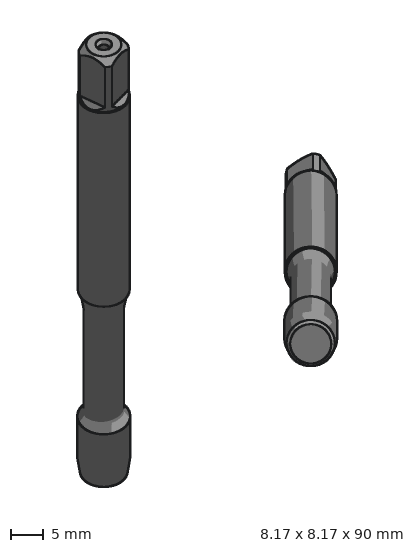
import cadquery as cq
import math

total_length = 90.0

head_diameter = 8.17
head_length = 12.0
lead_length = 3.6
lead_end_diameter = 7.4
lead_end_height = 0.6
tip_diameter = 6.3
tip_point_height = 0.2

collar_diameter = 8.08
collar_angle = 30.0
collar_fillet_radius = 1.0

neck_diameter = 6.23
shank_cone_bottom = 34.95
shank_cone_top_diameter = 7.4

shank_diameter = 8.0
shank_bottom = 38.7
shank_top = 79.3

square_width = 6.2
square_corner_diameter = 7.75
square_flat_bottom = 80.4
square_top_diameter = 5.4

centre_hole_diameter = 1.6
countersink_diameter = 2.5
countersink_angle = 60.0
centre_hole_depth = 2.5
drill_point_angle = 120.0


def revolve_outline(outline):
    """Revolve a closed outline of (radius, height) about Z."""
    return outline.close().revolve(360, (0, 0, 0), (0, 1, 0))


def make_cutting_head():
    return revolve_outline(
        cq.Workplane("XZ")
        .lineTo(tip_diameter / 2, tip_point_height)
        .lineTo(lead_end_diameter / 2, lead_end_height)
        .lineTo(head_diameter / 2, lead_length)
        .lineTo(head_diameter / 2, head_length)
        .lineTo(0, head_length)
    )


def make_shank_blank():
    """Collar, neck, shank and the round stock of the driving square."""
    neck_radius = neck_diameter / 2
    collar_radius = collar_diameter / 2
    slope = math.radians(collar_angle)
    cone_corner = head_length + (collar_radius - neck_radius) / math.tan(slope)
    tangent_length = collar_fillet_radius * math.tan(slope / 2)
    fillet_start = (
        neck_radius + tangent_length * math.sin(slope),
        cone_corner - tangent_length * math.cos(slope),
    )
    fillet_middle = (
        neck_radius + collar_fillet_radius * (1 - math.cos(slope / 2)),
        cone_corner + tangent_length - collar_fillet_radius * math.sin(slope / 2),
    )
    fillet_end = (neck_radius, cone_corner + tangent_length)

    corner_radius = square_corner_diameter / 2
    top_chamfer = corner_radius - square_top_diameter / 2
    shank_shoulder = shank_top + (shank_diameter - square_corner_diameter) / 2
    return revolve_outline(
        cq.Workplane("XZ")
        .moveTo(0, head_length)
        .lineTo(collar_radius, head_length)
        .lineTo(*fillet_start)
        .threePointArc(fillet_middle, fillet_end)
        .lineTo(neck_radius, shank_cone_bottom)
        .lineTo(shank_cone_top_diameter / 2, shank_bottom)
        .lineTo(shank_diameter / 2, shank_bottom)
        .lineTo(shank_diameter / 2, shank_top)
        .lineTo(corner_radius, shank_shoulder)
        .lineTo(corner_radius, total_length - top_chamfer)
        .lineTo(square_top_diameter / 2, total_length)
        .lineTo(0, total_length)
    )


def make_square_envelope():
    """Square prism on a sloping run-out, bounding everything above the shank."""
    runout = (
        cq.Workplane("XY", origin=(0, 0, shank_top))
        .rect(shank_diameter, shank_diameter)
        .workplane(offset=square_flat_bottom - shank_top)
        .rect(square_width, square_width)
        .loft(ruled=True)
    )
    square = (
        cq.Workplane("XY", origin=(0, 0, square_flat_bottom))
        .rect(square_width, square_width)
        .extrude(total_length - square_flat_bottom)
    )
    lower_width = max(shank_diameter, collar_diameter)
    lower = cq.Workplane("XY").rect(lower_width, lower_width).extrude(shank_top)
    return lower.union(runout).union(square)


def make_centre_hole():
    """Countersunk blind drilling in the end of the square."""
    hole_radius = centre_hole_diameter / 2
    mouth_radius = countersink_diameter / 2
    countersink_depth = (mouth_radius - hole_radius) / math.tan(math.radians(countersink_angle / 2))
    point_height = hole_radius / math.tan(math.radians(drill_point_angle / 2))
    hole_bottom = total_length - centre_hole_depth
    return revolve_outline(
        cq.Workplane("XZ")
        .moveTo(0, hole_bottom - point_height)
        .lineTo(hole_radius, hole_bottom)
        .lineTo(hole_radius, total_length - countersink_depth)
        .lineTo(mouth_radius, total_length)
        .lineTo(0, total_length)
    )


cutting_head = make_cutting_head()
shank = make_shank_blank().intersect(make_square_envelope()).cut(make_centre_hole())

result = cq.Compound.makeCompound([cutting_head.val(), shank.val()])